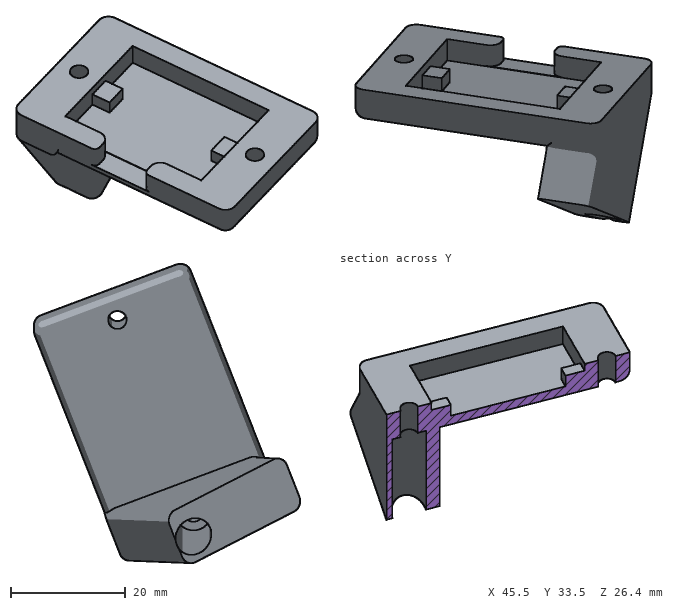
import cadquery as cq
import math

length = 45.5
width = 29.2
thickness = 6.25
edge_radius = 2.0
center_x = length / 2
center_y = width / 2

leg_width = 10.0
total_height = 26.35
leg_angle = math.radians(60)

pocket_length = 28.57
pocket_width = 21.0
pocket_depth = 4.1
block_length = 3.6
block_width = 4.1
block_height = 2.5
opening_width = 10.0
opening_depth = 4.0
opening_inner_radius = 2.0
opening_outer_radius = 1.0

hole_diameter = 3.2
hole_pitch = 36.95
counterbore_diameter = 6.25

wall = (width - pocket_width) / 2


def box(x_size, y_size, z_size, x, y, z):
    """Box centred on x and y, with its underside at z."""
    return cq.Workplane("XY", origin=(x, y, z)).rect(x_size, y_size).extrude(z_size)


def edge_near(x, y, z):
    """Selector for the edge whose midpoint lies closest to a point."""
    return cq.selectors.NearestToPointSelector((x, y, z))


def plate():
    """Plate with rounded corners and a rounded lower rim."""
    block = box(length, width, thickness, center_x, center_y, -thickness)
    return block.edges("|Z").fillet(edge_radius).faces("<Z").edges().fillet(edge_radius)


def leg():
    """Leg that drops from the plate, slopes toward the back and ends square to its slope."""
    tip_y = (total_height - thickness) / math.tan(leg_angle)
    foot_length = width * math.sin(leg_angle)
    heel_y = tip_y + foot_length * math.sin(leg_angle)
    heel_z = -total_height + foot_length * math.cos(leg_angle)
    outline = [
        (0, 0),
        (0, -thickness),
        (tip_y, -total_height),
        (heel_y, heel_z),
        (width, -thickness),
        (width, 0),
    ]
    block = cq.Workplane("YZ").polyline(outline).close().extrude(leg_width)
    block = block.edges(edge_near(leg_width / 2, width, -thickness)).fillet(edge_radius)

    front_slope_y = tip_y / 2
    front_slope_z = -(thickness + total_height) / 2
    back_slope_y = (width + heel_y) / 2
    back_slope_z = (heel_z - thickness) / 2
    long_edges = (
        edge_near(0, 0, -thickness / 2)
        + edge_near(0, front_slope_y, front_slope_z)
        + edge_near(0, width, -thickness / 2)
        + edge_near(0, back_slope_y, back_slope_z)
        + edge_near(leg_width, front_slope_y, front_slope_z)
        + edge_near(leg_width, back_slope_y, back_slope_z)
    )
    return block.edges(long_edges).fillet(edge_radius)


def pocket():
    """Pocket volume, leaving a support block standing at the middle of each end."""
    cavity = box(pocket_length, pocket_width, pocket_depth, center_x, center_y, -pocket_depth)
    for side in (-1, 1):
        block_x = center_x + side * (pocket_length - block_length) / 2
        cavity = cavity.cut(box(block_length, block_width, block_height, block_x, center_y, -pocket_depth))
    return cavity


def wall_opening():
    """Opening through the front wall, flaring where the wall ends are rounded."""
    half = opening_width / 2
    inner = opening_inner_radius
    outer = opening_outer_radius
    return (
        cq.Workplane("XY", origin=(center_x, 0, -opening_depth))
        .moveTo(-half - outer, 0)
        .radiusArc((-half, outer), -outer)
        .lineTo(-half, wall - inner)
        .radiusArc((-half - inner, wall), -inner)
        .lineTo(half + inner, wall)
        .radiusArc((half, wall - inner), -inner)
        .lineTo(half, outer)
        .radiusArc((half + outer, 0), -outer)
        .close()
        .extrude(opening_depth)
    )


def screw_holes():
    """Through holes at both ends, and the counterbore below the left one."""
    left_x = center_x - hole_pitch / 2
    right_x = center_x + hole_pitch / 2
    bottom = cq.Workplane("XY", origin=(0, center_y, -total_height))
    holes = bottom.pushPoints([(left_x, 0), (right_x, 0)]).circle(hole_diameter / 2).extrude(total_height)
    counterbore = bottom.center(left_x, 0).circle(counterbore_diameter / 2).extrude(total_height - thickness)
    return holes.union(counterbore)


result = plate().union(leg()).cut(pocket()).cut(wall_opening()).cut(screw_holes())